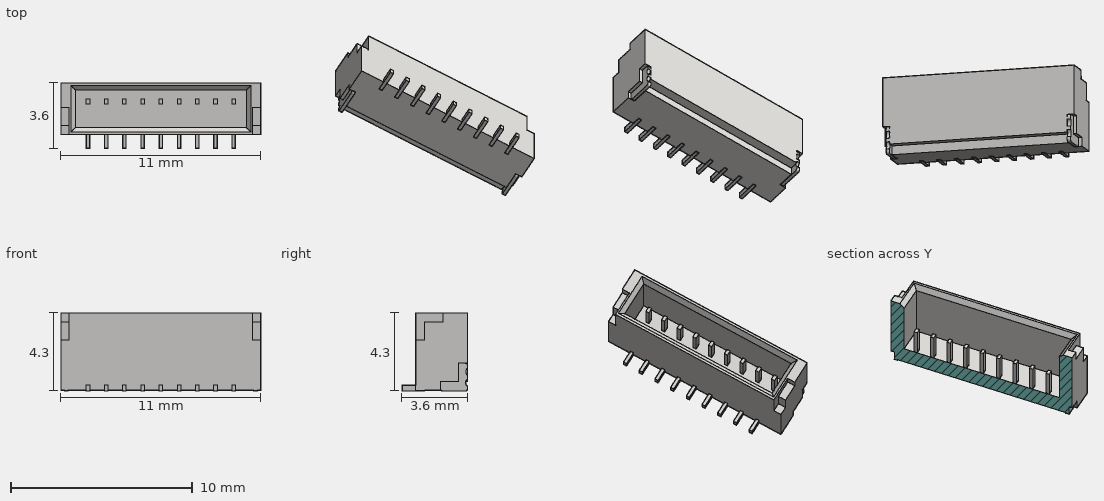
import cadquery as cq

length = 11.0
total_depth = 3.6
total_height = 4.3
lead_reach = 0.75
standoff = 0.04
depth = total_depth - lead_reach
front = -depth / 2
back = depth / 2

end_wall = 0.8
side_wall = 0.4
mouth_chamfer = 0.25
floor_thickness = 1.0

arm_length = 1.5
arm_width = 0.5
notch_depth = 0.45

contact_count = 9
pitch = 1.0
contact_width = 0.2
post_depth = 0.3
post_from_back = 1.02
post_top = 2.52
lead_height = 0.34
lead_embed = 0.5

tab_thickness = 0.2
tab_inset = 0.2
tab_height = arm_length + standoff
tab_arm_height = arm_width + standoff
tab_corner_radius = 0.13
scallop_diameter = 0.5
scallop_radius = scallop_diameter / 2
scallop_depth = 0.1
scallop_heights = (0.47, 1.07)


def block(x_range, y_range, z_range):
    """Box spanning the given (low, high) limits on each axis."""
    limits = (x_range, y_range, z_range)
    size = [high - low for low, high in limits]
    corner = tuple(low for low, high in limits)
    return cq.Workplane("XY").box(*size, centered=False).translate(corner)


def extrude_outline(points, x_start, thickness):
    """Extrude a closed Y-Z outline along +X from x_start."""
    return cq.Workplane("YZ", origin=(x_start, 0, 0)).polyline(points).close().extrude(thickness)


def both_ends(solid):
    """The solid together with its mirror image at the other end of the housing."""
    return solid.union(solid.mirror("YZ"))


def make_cavity():
    inner_length = length - 2 * end_wall
    inner_depth = depth - 2 * side_wall
    well = (
        cq.Workplane("XY", origin=(0, 0, standoff + floor_thickness))
        .rect(inner_length, inner_depth)
        .extrude(total_height - standoff - floor_thickness)
    )
    mouth = (
        cq.Workplane("XY", origin=(0, 0, total_height - mouth_chamfer))
        .rect(inner_length, inner_depth)
        .workplane(offset=mouth_chamfer)
        .rect(inner_length + 2 * mouth_chamfer, inner_depth + 2 * mouth_chamfer)
        .loft(ruled=True)
    )
    return well.union(mouth)


def make_top_notches():
    """L-shaped notches in the upper front corner of both end walls."""
    outline = [
        (front, total_height),
        (front + arm_length, total_height),
        (front + arm_length, total_height - arm_width),
        (front + arm_width, total_height - arm_width),
        (front + arm_width, total_height - arm_length),
        (front, total_height - arm_length),
    ]
    return both_ends(extrude_outline(outline, -length / 2, notch_depth))


def tab_outline():
    """L outline shared by a solder tab and its recess, in the lower back corner."""
    return [
        (back, 0),
        (back - arm_length, 0),
        (back - arm_length, tab_arm_height),
        (back - arm_width, tab_arm_height),
        (back - arm_width, tab_height),
        (back, tab_height),
    ]


def make_tab_recesses():
    return both_ends(extrude_outline(tab_outline(), -length / 2, tab_inset + tab_thickness))


def make_back_step():
    """Step along the whole lower back edge."""
    return block((-length / 2, length / 2), (back - arm_width, back), (0, tab_arm_height))


def make_solder_tabs():
    x_start = tab_inset - length / 2
    tab = extrude_outline(tab_outline(), x_start, tab_thickness)
    tab = tab.edges("|X").edges("<Z or >Y").fillet(tab_corner_radius)
    scallop_y = back - scallop_depth + scallop_radius
    for height in scallop_heights:
        scallop = (
            cq.Workplane("YZ", origin=(x_start, 0, 0))
            .center(scallop_y, height)
            .circle(scallop_radius)
            .extrude(tab_thickness)
        )
        tab = tab.cut(scallop)
    return both_ends(tab)


def make_contact(x):
    """Upright post in the cavity and the flat lead below the front wall."""
    x_range = (x - contact_width / 2, x + contact_width / 2)
    post_y = back - post_from_back
    post = block(
        x_range,
        (post_y - post_depth / 2, post_y + post_depth / 2),
        (standoff + floor_thickness / 2, post_top),
    )
    lead = block(x_range, (front - lead_reach, front + lead_embed), (0, lead_height))
    return post.union(lead)


housing = block((-length / 2, length / 2), (front, back), (standoff, total_height))
result = housing.cut(make_cavity()).cut(make_top_notches())
result = result.cut(make_tab_recesses()).cut(make_back_step())
result = result.union(make_solder_tabs())

for index in range(contact_count):
    contact_x = (index - (contact_count - 1) / 2) * pitch
    result = result.union(make_contact(contact_x))